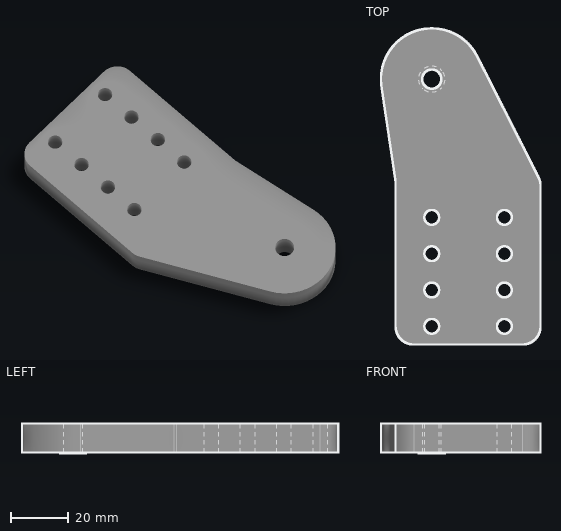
import cadquery as cq
import math

length = 110.7
boss_height = 0.3
plate_thickness = 10.5 - boss_height

base_width = 50.8
shoulder_y = 57.1
corner_radius = 6.4

pivot_radius = 17.8
pivot_x = -base_width / 4
pivot_y = length - pivot_radius
pivot_hole_diameter = 6.6
boss_diameter = 9.2

mount_hole_diameter = 5.1
mount_columns = 2
mount_rows = 4
column_pitch = base_width / 2
row_pitch = column_pitch / 2
first_row_y = 6.4


def tangent_point(corner_x, corner_y, side):
    """Point where a line from the corner touches the pivot arc (side: -1 left, +1 right)."""
    dx = corner_x - pivot_x
    dy = corner_y - pivot_y
    toward_corner = math.atan2(dy, dx)
    half_angle = math.acos(pivot_radius / math.hypot(dx, dy))
    angle = toward_corner + side * half_angle
    return (pivot_x + pivot_radius * math.cos(angle), pivot_y + pivot_radius * math.sin(angle))


def make_plate():
    half_width = base_width / 2
    plate = (
        cq.Workplane("XY")
        .moveTo(-half_width, 0)
        .lineTo(half_width, 0)
        .lineTo(half_width, shoulder_y)
        .lineTo(*tangent_point(half_width, shoulder_y, 1))
        .threePointArc((pivot_x, length), tangent_point(-half_width, shoulder_y, -1))
        .lineTo(-half_width, shoulder_y)
        .close()
        .extrude(plate_thickness)
    )

    def edge_at(x, y):
        return cq.selectors.NearestToPointSelector((x, y, plate_thickness / 2))

    for x in (-half_width, half_width):
        for y in (0, shoulder_y):
            plate = plate.edges("|Z").edges(edge_at(x, y)).fillet(corner_radius)
    return plate


def make_boss():
    """Low round pad under the pivot end."""
    return (
        cq.Workplane("XY", origin=(pivot_x, pivot_y, -boss_height))
        .circle(boss_diameter / 2)
        .extrude(2 * boss_height)
    )


def make_pivot_hole():
    return (
        cq.Workplane("XY", origin=(pivot_x, pivot_y, -boss_height))
        .circle(pivot_hole_diameter / 2)
        .extrude(plate_thickness + boss_height)
    )


def make_mount_holes():
    pattern_y = first_row_y + (mount_rows - 1) * row_pitch / 2
    return (
        cq.Workplane("XY", origin=(0, pattern_y, 0))
        .rarray(column_pitch, row_pitch, mount_columns, mount_rows)
        .circle(mount_hole_diameter / 2)
        .extrude(plate_thickness)
    )


result = make_plate().union(make_boss()).cut(make_pivot_hole()).cut(make_mount_holes())